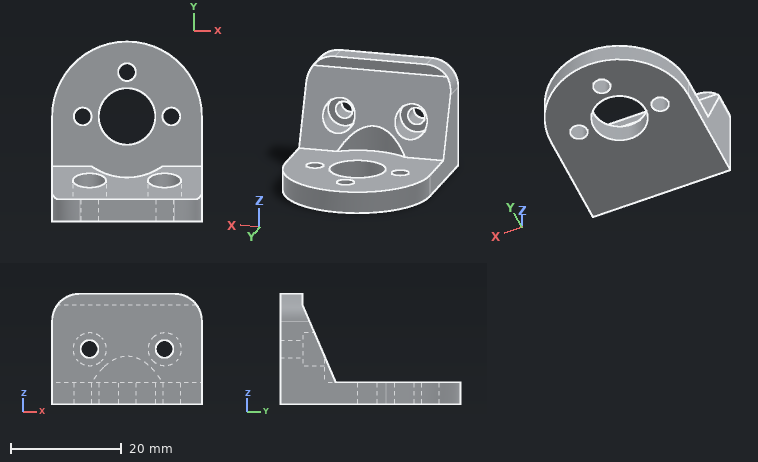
import cadquery as cq

width = 27.15
length = 32.58
height = 20.0

plate_thickness = 4.0
end_radius = width / 2
bore_center_y = length - end_radius
bore_diameter = 10.2
screw_diameter = 3.15
screw_circle_radius = 8.0
clearance_radius = 11.05

wall_thickness = 4.0
wall_foot_depth = 10.0
slope_top_z = 18.0
corner_radius = 5.0
wall_hole_spacing = width / 2
wall_hole_z = height / 2
counterbore_diameter = 6.0


def base_plate():
    block = cq.Workplane("XY").box(width, bore_center_y, plate_thickness, centered=(True, False, False))
    rounded_end = cq.Workplane("XY").center(0, bore_center_y).circle(end_radius).extrude(plate_thickness)
    return block.union(rounded_end)


def upright_wall():
    profile = [
        (0, 0),
        (wall_foot_depth, 0),
        (wall_foot_depth, plate_thickness),
        (wall_thickness, slope_top_z),
        (wall_thickness, height),
        (0, height),
    ]
    wall = cq.Workplane("YZ").polyline(profile).close().extrude(width / 2, both=True)
    rounded_outline = (
        cq.Workplane("XY")
        .box(width, wall_foot_depth, height, centered=(True, False, False))
        .edges("|Y and >Z")
        .fillet(corner_radius)
    )
    return wall.intersect(rounded_outline)


def clearance_cut():
    """Round clearance above the plate, cut into the foot of the slope."""
    return (
        cq.Workplane("XY", origin=(0, bore_center_y, plate_thickness))
        .circle(clearance_radius)
        .extrude(height - plate_thickness)
    )


def plate_holes():
    """Central bore with screw holes on its left, right and outer sides."""
    screw_points = [
        (-screw_circle_radius, 0),
        (screw_circle_radius, 0),
        (0, screw_circle_radius),
    ]
    base = cq.Workplane("XY", origin=(0, bore_center_y, 0))
    bore = base.circle(bore_diameter / 2).extrude(plate_thickness)
    screws = base.pushPoints(screw_points).circle(screw_diameter / 2).extrude(plate_thickness)
    return bore.union(screws)


def wall_hole(x):
    """Hole through the wall, counterbored from the sloped back."""
    hole = (
        cq.Workplane("XZ", origin=(x, 0, wall_hole_z))
        .circle(screw_diameter / 2)
        .extrude(-wall_foot_depth)
    )
    counterbore = (
        cq.Workplane("XZ", origin=(x, wall_thickness, wall_hole_z))
        .circle(counterbore_diameter / 2)
        .extrude(-(wall_foot_depth - wall_thickness))
    )
    return hole.union(counterbore)


result = base_plate().union(upright_wall())
result = result.cut(clearance_cut()).cut(plate_holes())
for side in (-1, 1):
    result = result.cut(wall_hole(side * wall_hole_spacing / 2))